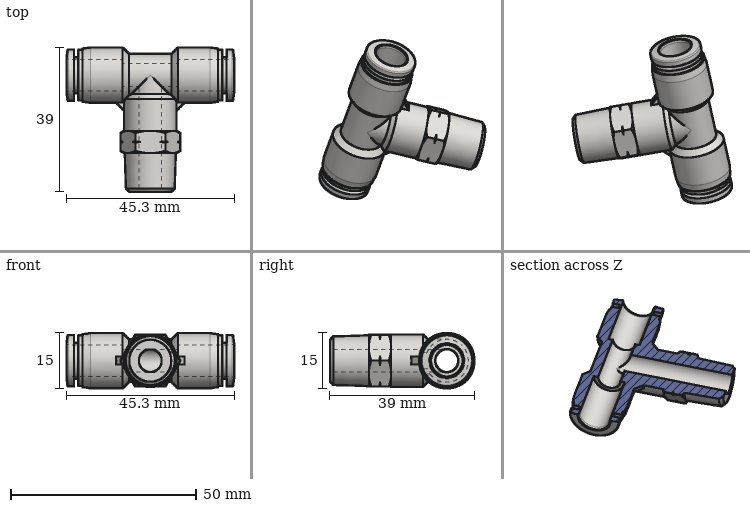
import cadquery as cq
import math


run_length = 45.3
overall_depth = 39.0
body_diameter = 15.0

half_run = run_length / 2
body_radius = body_diameter / 2
neck_radius = 5.8
bore_radius = 3.1

button_radius = 6.95
button_face_rise = 0.3
button_edge_fillet = 0.35
button_depth = 2.1
stem_radius = 4.9

collar_radius = 6.9
collar_depth = 3.13
collar_lip_radius = 6.3
collar_lip_length = 0.15
nose_radius = 7.2
nose_depth = 4.4
body_depth = 6.52
shoulder_depth = 15.2
neck_depth = shoulder_depth + body_radius - neck_radius

mouth_radius = 4.6
mouth_chamfer = 0.2
socket_radius = 4.25
lead_in_depth = 0.9
socket_depth = shoulder_depth

branch_length = overall_depth - body_radius
branch_radius = 7.1
branch_shoulder = 6.45
hex_start = 15.05
hex_end = 20.97

hex_flats = 14.0
hex_corner_radius = hex_flats / math.sqrt(3)
hex_chamfer_angle = math.radians(30)
hex_chamfer = (hex_corner_radius - branch_radius) * math.tan(hex_chamfer_angle)
hex_groove_radius = 7.5
hex_groove_half_width = 0.2

thread_start_radius = 6.95
thread_end_radius = 6.6
thread_chamfer = 0.95

gusset_reach = 16.65
gusset_thickness = 2.17


def revolve_about_x(points):
    return cq.Workplane("XY").polyline(points).close().revolve(360, (0, 0, 0), (1, 0, 0))


def revolve_about_branch(points):
    """Revolve (radius, distance along the branch) points about the Y axis."""
    outline = [(radius, -distance) for radius, distance in points]
    return cq.Workplane("XY").polyline(outline).close().revolve(360, (0, 0, 0), (0, 1, 0))


def make_button():
    """Release button with a coned face and its stem, at the -X end."""
    head = revolve_about_x([
        (-half_run, 0),
        (-half_run, mouth_radius),
        (-half_run + button_face_rise, button_radius),
        (-half_run + button_depth, button_radius),
        (-half_run + button_depth, 0),
    ])
    rim_centre = (-half_run + button_face_rise, 0, 0)
    head = head.edges(cq.selectors.NearestToPointSelector(rim_centre)).fillet(button_edge_fillet)
    stem = (
        cq.Workplane("YZ", origin=(-half_run + button_depth, 0, 0))
        .circle(stem_radius)
        .extrude(nose_depth - button_depth)
    )
    return head.union(stem)


def make_run_body():
    """Half of the run, from the collar at the -X end to the centre."""
    return revolve_about_x([
        (-half_run + collar_depth, 0),
        (-half_run + collar_depth, collar_lip_radius),
        (-half_run + collar_depth + collar_lip_length, collar_radius),
        (-half_run + nose_depth, collar_radius),
        (-half_run + nose_depth, nose_radius),
        (-half_run + body_depth, body_radius),
        (-half_run + shoulder_depth, body_radius),
        (-half_run + neck_depth, neck_radius),
        (0, neck_radius),
        (0, 0),
    ])


def make_socket():
    """Tube socket cutter with a chamfered mouth and a tapered lead-in."""
    return revolve_about_x([
        (-half_run, 0),
        (-half_run, mouth_radius),
        (-half_run + mouth_chamfer, mouth_radius - mouth_chamfer),
        (-half_run + lead_in_depth, socket_radius),
        (-half_run + socket_depth, socket_radius),
        (-half_run + socket_depth, 0),
    ])


def make_gusset():
    return (
        cq.Workplane("XY")
        .polyline([(0, 0), (-gusset_reach, 0), (0, -gusset_reach)])
        .close()
        .extrude(gusset_thickness / 2, both=True)
    )


def both_ends(half):
    return half.union(half.mirror("YZ"))


def make_branch():
    """Branch neck, barrel and tapered thread blank."""
    return revolve_about_branch([
        (0, 0),
        (neck_radius, 0),
        (neck_radius, branch_shoulder - (branch_radius - neck_radius)),
        (branch_radius, branch_shoulder),
        (branch_radius, hex_start),
        (thread_start_radius, hex_start),
        (thread_start_radius, hex_end),
        (thread_end_radius, branch_length - thread_chamfer),
        (thread_end_radius - thread_chamfer, branch_length),
        (0, branch_length),
    ])


def make_hex():
    """Hexagon with corners on +X and -X, chamfered ends and a V groove around the corners."""
    prism = (
        cq.Workplane("XZ", origin=(0, -hex_start, 0))
        .polygon(6, 2 * hex_corner_radius)
        .extrude(hex_end - hex_start)
    )
    groove = (hex_start + hex_end) / 2
    envelope = revolve_about_branch([
        (0, hex_start),
        (branch_radius, hex_start),
        (hex_corner_radius, hex_start + hex_chamfer),
        (hex_corner_radius, groove - hex_groove_half_width),
        (hex_groove_radius, groove),
        (hex_corner_radius, groove + hex_groove_half_width),
        (hex_corner_radius, hex_end - hex_chamfer),
        (branch_radius, hex_end),
        (0, hex_end),
    ])
    return prism.intersect(envelope)


run_bore = cq.Workplane("YZ").circle(bore_radius).extrude(half_run, both=True)
branch_bore = cq.Workplane("XZ").circle(bore_radius).extrude(branch_length)

result = (
    both_ends(make_run_body())
    .union(both_ends(make_button()))
    .union(make_branch())
    .union(make_hex())
    .union(both_ends(make_gusset()))
    .cut(both_ends(make_socket()))
    .cut(run_bore)
    .cut(branch_bore)
)